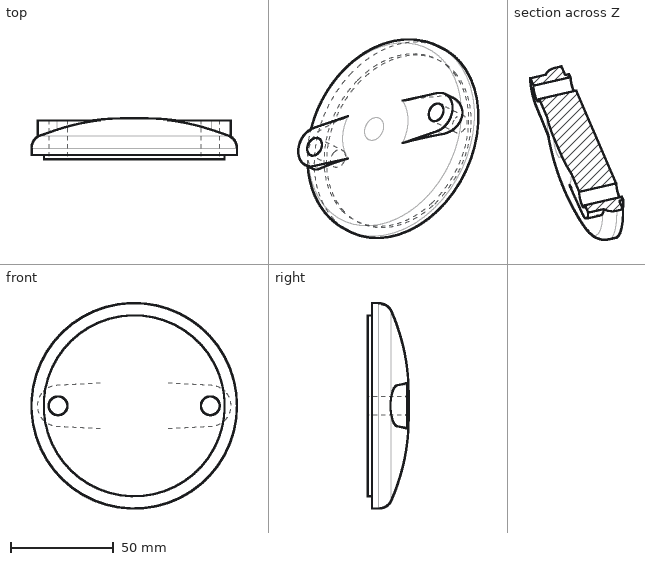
import math

import cadquery as cq

cover_radius = 50.0
overall_depth = 20.0
spigot_radius = 44.0
spigot_height = 2.0

rim_top = 5.3
rim_round_radius = 7.0
dome_edge_height = 11.3
round_center_x = cover_radius - rim_round_radius
dome_edge_angle = math.asin((dome_edge_height - rim_top) / rim_round_radius)
dome_edge_radius = round_center_x + rim_round_radius * math.cos(dome_edge_angle)
dome_rise = overall_depth - dome_edge_height

dome_arc_radius = 100.0
crown_radius = dome_edge_radius - math.sqrt(dome_arc_radius**2 - (dome_arc_radius - dome_rise) ** 2)

hole_diameter = 9.0
boss_radius = 10.0
boss_offset = 37.0
boss_top = 19.0
bar_center_radius = 12.0


def round_over_point(angle):
    """Point on the rim rounding, at an angle measured from the rim side."""
    return (
        round_center_x + rim_round_radius * math.cos(angle),
        rim_top + rim_round_radius * math.sin(angle),
    )


def dome_point(radius):
    """Point on the dome arc at a given distance from the cover axis."""
    drop = dome_arc_radius - math.sqrt(dome_arc_radius**2 - (radius - crown_radius) ** 2)
    return (radius, overall_depth - drop)


def make_cover():
    """Revolve the half section about the Y axis."""
    dome_middle = dome_point((dome_edge_radius + crown_radius) / 2)
    return (
        cq.Workplane("XY")
        .moveTo(0, 0)
        .lineTo(spigot_radius, 0)
        .lineTo(spigot_radius, spigot_height)
        .lineTo(cover_radius, spigot_height)
        .lineTo(cover_radius, rim_top)
        .threePointArc(round_over_point(dome_edge_angle / 2), round_over_point(dome_edge_angle))
        .threePointArc(dome_middle, (crown_radius, overall_depth))
        .lineTo(0, overall_depth)
        .close()
        .revolve(360, (0, 0, 0), (0, 1, 0))
    )


def make_boss_bar():
    """Two round boss ends joined by straight walls tangent to them."""
    taper = math.asin((bar_center_radius - boss_radius) / boss_offset)
    tangent_x = boss_offset + boss_radius * math.sin(taper)
    tangent_z = boss_radius * math.cos(taper)
    center_z = tangent_z + tangent_x * math.tan(taper)
    end_x = boss_offset + boss_radius
    bar_height = boss_top - rim_top
    return (
        cq.Workplane("XZ", origin=(0, rim_top, 0))
        .moveTo(0, center_z)
        .lineTo(tangent_x, tangent_z)
        .threePointArc((end_x, 0), (tangent_x, -tangent_z))
        .lineTo(0, -center_z)
        .lineTo(-tangent_x, -tangent_z)
        .threePointArc((-end_x, 0), (-tangent_x, tangent_z))
        .close()
        .extrude(-bar_height)
    )


def make_screw_holes():
    """Through holes on the boss axes."""
    return (
        cq.Workplane("XZ")
        .pushPoints([(-boss_offset, 0), (boss_offset, 0)])
        .circle(hole_diameter / 2)
        .extrude(-overall_depth)
    )


result = make_cover().union(make_boss_bar()).cut(make_screw_holes())